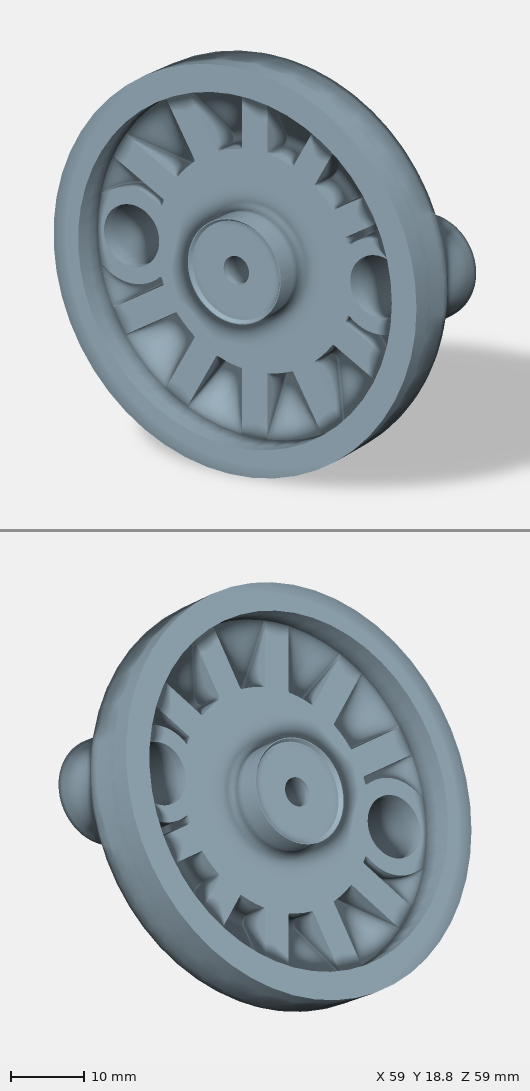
import cadquery as cq
import math


rim_radius = 29.5
rim_draft = 0.25
rim_height = 6.95
rim_inner_radius = 25.5
shoulder_radius = 26.85
shoulder_y = 11.05
dome_mid_radius = 19.65
dome_mid_y = 14.65
pad_radius = 11.05
pad_base_y = 18.0
pad_top_y = 18.65
pad_chamfer = 0.35

web_y = 5.0
hub_radius = 7.55
hub_end_y = -0.2
hub_base_fillet = 1.0
hub_lip_width = 0.1
hub_recess_radius = 7.1
hub_recess_depth = 0.55
center_hole_radius = 2.05

hole_radius = 4.5
hole_offset = 20.0
wall_radius = 6.9
boss_end_radius = 7.55
boss_end_offset = 21.0
boss_side_angle = 4.2
boss_top_fillet = 1.95

spoke_step = 30
spoke_width = 4.1
pocket_inner_radius = 16.0
pocket_floor_angle = 31.3
pocket_overrun = 0.6
pocket_end_fillet = 1.0
pocket_side_fillet = 0.25


def turned(profile):
    """Revolve a closed (radius, y) profile about the wheel axis."""
    return profile.close().revolve(360, (0, 0, 0), (0, 1, 0))


def facing_back(y):
    """Plane square to the wheel axis, extruding toward +Y; its local axes are (Z, X)."""
    return cq.Workplane("ZX", origin=(0, y, 0))


def dome_body():
    profile = (
        cq.Workplane("XY")
        .lineTo(rim_radius, 0)
        .lineTo(rim_radius - rim_draft, rim_height)
        .tangentArcPoint((shoulder_radius, shoulder_y), relative=False)
        .threePointArc((dome_mid_radius, dome_mid_y), (pad_radius, pad_base_y))
        .lineTo(pad_radius - pad_chamfer, pad_top_y)
        .lineTo(0, pad_top_y)
    )
    return turned(profile)


def boss_pair():
    """Block behind both holes: two round ends joined by sides tangent to them."""
    angle = math.radians(boss_side_angle)
    tangent_x = boss_end_offset + boss_end_radius * math.sin(angle)
    tangent_z = boss_end_radius * math.cos(angle)
    middle_z = tangent_z + tangent_x * math.tan(angle)
    tip_x = boss_end_offset + boss_end_radius
    return (
        facing_back(rim_height)
        .moveTo(middle_z, 0)
        .lineTo(tangent_z, tangent_x)
        .threePointArc((0, tip_x), (-tangent_z, tangent_x))
        .lineTo(-middle_z, 0)
        .lineTo(-tangent_z, -tangent_x)
        .threePointArc((0, -tip_x), (tangent_z, -tangent_x))
        .close()
        .extrude(pad_base_y - rim_height)
        .faces(">Y")
        .edges()
        .fillet(boss_top_fillet)
    )


def front_recess():
    """Space inside the rim, around the hub, with the fillet at the foot of the hub."""
    foot_radius = hub_radius + hub_base_fillet
    arc_offset = hub_base_fillet * (1 - math.sqrt(0.5))
    profile = (
        cq.Workplane("XY")
        .moveTo(hub_radius, hub_end_y)
        .lineTo(rim_inner_radius, hub_end_y)
        .lineTo(rim_inner_radius, web_y)
        .lineTo(foot_radius, web_y)
        .threePointArc(
            (hub_radius + arc_offset, web_y - arc_offset),
            (hub_radius, web_y - hub_base_fillet),
        )
    )
    return turned(profile)


def hub_recess():
    """Shallow conical recess in the end of the hub."""
    floor_y = hub_end_y + hub_recess_depth
    profile = (
        cq.Workplane("XY")
        .moveTo(0, hub_end_y)
        .lineTo(hub_radius - hub_lip_width, hub_end_y)
        .lineTo(hub_recess_radius, floor_y)
        .lineTo(0, floor_y)
    )
    return turned(profile)


def pocket_dividers(y, height):
    """The spokes and the round walls of the through holes."""
    walls = (
        facing_back(y)
        .pushPoints([(0, -hole_offset), (0, hole_offset)])
        .circle(wall_radius)
        .extrude(height)
    )
    for angle in range(spoke_step, 180, spoke_step):
        spoke = facing_back(y).rect(spoke_width, 2 * rim_radius).extrude(height)
        walls = walls.union(spoke.rotate((0, 0, 0), (0, 1, 0), angle))
    return walls


def pockets():
    """Ring with a conical floor that runs out at the rim, split up by the dividers."""
    angle = math.radians(pocket_floor_angle)
    slope = math.tan(angle)
    front_y = web_y - pocket_overrun
    height = pad_top_y - front_y

    arc_radius = pocket_inner_radius + pocket_end_fillet
    arc_y = (
        web_y
        + (rim_inner_radius - arc_radius) * slope
        - pocket_end_fillet / math.cos(angle)
    )
    floor_start = (
        arc_radius + pocket_end_fillet * math.sin(angle),
        arc_y + pocket_end_fillet * math.cos(angle),
    )
    ring = turned(
        cq.Workplane("XY")
        .moveTo(pocket_inner_radius, front_y)
        .lineTo(pocket_inner_radius, arc_y)
        .tangentArcPoint(floor_start, relative=False)
        .lineTo(rim_inner_radius + pocket_overrun / slope, front_y)
    )
    cells = ring.cut(pocket_dividers(front_y, height))
    cells = cells.faces("%CONE").edges("not %CIRCLE").fillet(pocket_side_fillet)
    behind_web = facing_back(web_y).circle(rim_inner_radius).extrude(height)
    return cells.intersect(behind_web)


def through_holes():
    length = pad_top_y - hub_end_y
    side_holes = (
        facing_back(hub_end_y)
        .pushPoints([(0, -hole_offset), (0, hole_offset)])
        .circle(hole_radius)
        .extrude(length)
    )
    center_hole = facing_back(hub_end_y).circle(center_hole_radius).extrude(length)
    return side_holes.union(center_hole)


hub = facing_back(hub_end_y).circle(hub_radius).extrude(web_y - hub_end_y)

result = (
    dome_body()
    .union(boss_pair())
    .union(hub)
    .cut(front_recess())
    .cut(hub_recess())
    .cut(pockets())
    .cut(through_holes())
)